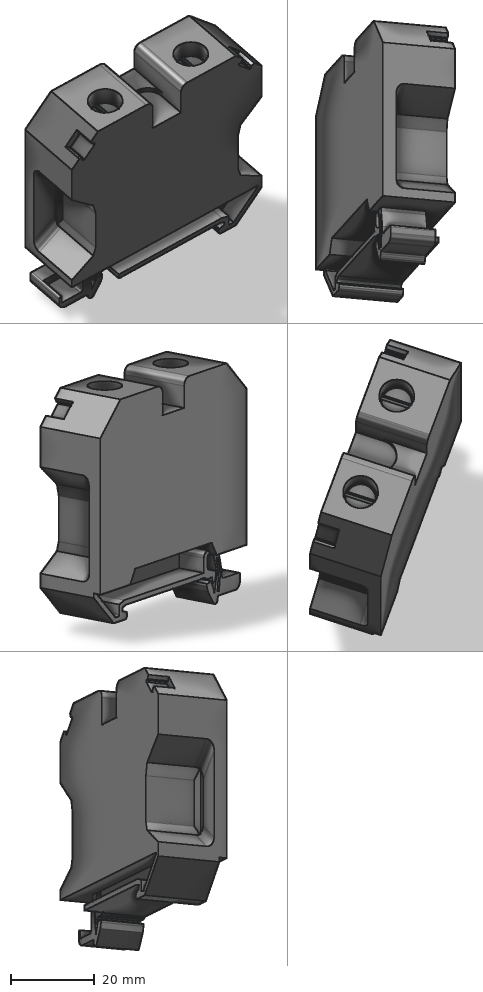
import cadquery as cq
import math

width = 17.9
length = 58.0
height = 59.35
half_length = length / 2

housing_bottom = 12.8
corner_chamfer = 7.95
gap_half_width = 4.3
gap_floor = 51.9
tower_edge_radius = 2.0
gap_recess_depth = 1.25

screw_x = 10.7
screw_y = 13.05
well_radius = 4.15
well_depth = 11.85
screw_radius = 4.05
screw_top = 55.2
screw_chamfer = 0.5
screw_slot_width = 1.2
screw_slot_depth = 1.2

notch_x = 12.6
notch_start = 2.15
notch_length = 5.0
notch_bump = 0.35
notch_bump_depth = 1.0
notch_undercut_depth = 1.6
notch_depth = 1.9

entry_x = 3.3
entry_corner_radius = 2.0
entry_ledge = 0.65
entry_top = 41.5
entry_bottom = 15.2
entry_floor_top = 35.9
entry_floor_bottom = 19.35
entry_floor_depth = 6.5
entry_step_x = 5.35
entry_step_top = 32.9
entry_step_bottom = 21.6
entry_depth = 7.25

foot_x = 1.95
web_x = 9.4
clip_end_x = 13.05
arch_half_top = 15.15
arch_half_bottom = 17.1
arch_top = 16.3
beam_end = -14.65
beam_bottom = 7.3
beam_top = 8.6
leg_bottom = 3.75
leg_knee = 11.7
leg_slope_end = half_length - (leg_knee - leg_bottom)
rail_hook_y = 15.8
rail_hook_radius = 0.85
rail_hook_chamfer_y = 0.2
rail_hook_chamfer_z = 0.4
rail_hook_top = 5.5
rail_groove_y = 17.55
rail_groove_radius = 0.4
rail_groove_low = 5.8
rail_groove_high = 7.0
rail_groove_mouth_y = 16.25

nose_y = -19.35
nose_back_y = -18.0
nose_tip = 5.3
nose_top = 8.4
nose_top_radius = 0.8
nose_roof = 6.8
clip_wall_y = -16.0
clip_wall_low = 9.85
clip_wall_low_radius = 0.95
clip_wall_top_radius = 0.8

recess_knee_y = 27.65
recess_knee_z = 12.35
recess_floor = 5.05
recess_post_y = 18.9
recess_floor_radius = 0.4
recess_step_y = 16.8
recess_step_z = 7.95
recess_arc_radius = 1.3
recess_arc_top = 13.7

lever_tab_top = 5.75
lever_tab_bottom = 1.8
lever_front = -21.7
tab_corner_radius = 1.95
tab_lip = 0.85
tab_edge_radius = 0.55
tab_fillet = 0.8
tab_pocket_x = 6.0
tab_pocket_drop = 2.1
lever_back_top = -18.05
lever_front_top = -20.65
lever_bend_high = 12.0
lever_bend_low = 7.7
tip_fillet = 0.5
tip_start_y = -20.2
lever_tip = [(-20.05, 0.7), (-19.15, 0), (-18.3, 0.6)]
lever_hook = [(-16.2, 3.75), (-15.8, 5.15), (-15.8, 5.7), (-16.25, 5.6), (-17.2, 6.2), (-17.55, 5.9)]
lever_back = [(-18.9, 2.85), (-19.7, 7.35), (-18.5, 12.05)]
lever_groove_path = [(-19.95, 10.8), (-20.8, 7.05), (-20.35, 3.2)]
lever_groove_width = 0.7
lever_groove_depth = 3.15


def block(x0, x1, y0, y1, z0, z1):
    """Box between two opposite corners."""
    return cq.Workplane("XY").box(x1 - x0, y1 - y0, z1 - z0, centered=False).translate((x0, y0, z0))


def profile(x):
    """Workplane at the given X whose local axes are Y and Z."""
    return cq.Workplane("YZ", origin=(x, 0, 0))


def both_ends(tool):
    """The tool made for the -Y end, together with its mirror image at the +Y end."""
    return [tool, tool.mirror("XZ")]


def housing_block():
    """Block with chamfered upper corners and a rounded gap between two towers."""
    body = block(0, width, -half_length, half_length, housing_bottom, height)
    body = body.faces(">Z").edges("|X").chamfer(corner_chamfer)
    gap = block(0, width, -gap_half_width, gap_half_width, gap_floor, height)
    for side in (-1, 1):
        gap = gap.union(gap_rounding(side))
    return body.cut(gap)


def gap_rounding(side):
    """Waste above the rounded upper edge of one tower; side is the sign of Y."""
    return (
        profile(0)
        .moveTo(side * gap_half_width, height)
        .lineTo(side * (gap_half_width + tower_edge_radius), height)
        .radiusArc((side * gap_half_width, height - tower_edge_radius), -side * tower_edge_radius)
        .close()
        .extrude(width)
    )


def gap_recess():
    """Round-ended recess in the gap floor, open at the +X side."""
    floor = gap_floor - gap_recess_depth
    round_end = (
        cq.Workplane("XY", origin=(screw_x, 0, floor))
        .circle(gap_half_width)
        .extrude(gap_recess_depth)
    )
    return round_end.union(block(screw_x, width, -gap_half_width, gap_half_width, floor, gap_floor))


def marker_notch():
    """Snap-in notch in the -Y chamfer, its walls pinched by a bump halfway down."""
    edge_y = -(half_length - corner_chamfer) - notch_start
    edge_z = height - notch_start
    wall = [
        (0, 0),
        (notch_bump, notch_bump_depth),
        (0, notch_undercut_depth),
        (notch_bump, notch_depth),
    ]
    outline = wall + [(notch_length - along, depth) for along, depth in reversed(wall)]
    return (
        cq.Workplane("YZ")
        .polyline([(-along, -depth) for along, depth in outline])
        .close()
        .extrude(width - notch_x)
        .rotate((0, 0, 0), (1, 0, 0), 45)
        .translate((notch_x, edge_y, edge_z))
    )


def entry_pocket():
    """Funnel-shaped wire entry at the -Y end, open at the +X side, with a stepped floor."""
    end = -half_length
    funnel = (
        profile(entry_x)
        .polyline([
            (end, entry_top),
            (end + entry_floor_depth, entry_floor_top),
            (end + entry_floor_depth, entry_floor_bottom),
            (end, entry_bottom),
        ])
        .close()
        .extrude(width - entry_x)
    )
    wall_edges = funnel.faces("<X").edges("not(<Y or >Y)")
    return wall_edges.edges("not |Z").fillet(entry_corner_radius)


def entry_step():
    """Deepest part of the wire entry: a flat with sloping borders on three sides."""
    end = -half_length
    slope_start = entry_x + entry_ledge
    step = (
        profile(slope_start)
        .polyline([
            (end + entry_floor_depth, entry_floor_top),
            (end + entry_depth, entry_step_top),
            (end + entry_depth, entry_step_bottom),
            (end + entry_floor_depth, entry_floor_bottom),
        ])
        .close()
        .extrude(width - slope_start)
    )
    side_slope = (
        cq.Workplane("XY", origin=(0, 0, entry_bottom))
        .polyline([
            (slope_start, end),
            (slope_start, end + entry_floor_depth),
            (entry_step_x, end + entry_depth),
            (width, end + entry_depth),
            (width, end),
        ])
        .close()
        .extrude(entry_top - entry_bottom)
    )
    return step.intersect(side_slope)


def arch():
    """Trapezoid cut from the housing's underside on the -X side."""
    return (
        profile(0)
        .polyline([
            (arch_half_bottom, housing_bottom),
            (arch_half_top, arch_top),
            (-arch_half_top, arch_top),
            (-arch_half_bottom, housing_bottom),
        ])
        .close()
        .extrude(web_x)
    )


def leg_outline(x):
    """Sloping leg and its rail groove, from the housing round to the underside of the beam."""
    groove_start_y = rail_groove_y - rail_groove_radius
    return (
        profile(x)
        .moveTo(half_length, housing_bottom)
        .lineTo(half_length, leg_knee)
        .lineTo(leg_slope_end, leg_bottom)
        .lineTo(rail_hook_y + rail_hook_radius, leg_bottom)
        .radiusArc((rail_hook_y, leg_bottom + rail_hook_radius), rail_hook_radius)
        .lineTo(rail_hook_y, rail_hook_top - rail_hook_chamfer_z)
        .lineTo(rail_hook_y + rail_hook_chamfer_y, rail_hook_top)
        .lineTo(groove_start_y, rail_groove_low)
        .radiusArc((rail_groove_y, rail_groove_low + rail_groove_radius), -rail_groove_radius)
        .lineTo(rail_groove_y, rail_groove_high - rail_groove_radius)
        .radiusArc((groove_start_y, rail_groove_high), -rail_groove_radius)
        .lineTo(rail_groove_mouth_y, beam_bottom)
    )


def clip_side():
    """Foot between its -X face and the far side of the web, ending in the clip nose."""
    return (
        leg_outline(foot_x)
        .lineTo(-15.0, beam_bottom)
        .lineTo(-15.9, nose_roof)
        .lineTo(nose_back_y, nose_roof)
        .lineTo(nose_back_y, nose_tip)
        .lineTo(-18.3, nose_tip)
        .lineTo(-19.1, 5.9)
        .lineTo(nose_y, 6.5)
        .lineTo(nose_y, nose_top - nose_top_radius)
        .radiusArc((nose_y + nose_top_radius, nose_top), nose_top_radius)
        .lineTo(-18.2, nose_top)
        .lineTo(-16.6, 9.15)
        .radiusArc((clip_wall_y, clip_wall_low), -clip_wall_low_radius)
        .lineTo(clip_wall_y, housing_bottom - clip_wall_top_radius)
        .radiusArc((clip_wall_y - clip_wall_top_radius, housing_bottom), -clip_wall_top_radius)
        .lineTo(-arch_half_bottom, housing_bottom)
        .lineTo(-arch_half_top, arch_top)
        .lineTo(arch_half_top, arch_top)
        .lineTo(arch_half_bottom, housing_bottom)
        .close()
        .extrude(clip_end_x - foot_x)
    )


def plain_side():
    """Foot beyond the web: only the leg and the beam."""
    return (
        leg_outline(clip_end_x)
        .lineTo(beam_end, beam_bottom)
        .lineTo(beam_end, housing_bottom)
        .close()
        .extrude(width - clip_end_x)
    )


def foot_recess(x0, x1):
    """Space framed by the leg, the beam and the clip wall, reaching up into the arch."""
    slope_foot_y = recess_knee_y - (recess_knee_z - recess_floor)
    arch_run = (arch_half_bottom - arch_half_top) / (arch_top - housing_bottom)
    arc_meets_arch_y = -arch_half_bottom + (recess_arc_top - housing_bottom) * arch_run
    return (
        profile(x0)
        .moveTo(recess_knee_y, housing_bottom)
        .lineTo(recess_knee_y, recess_knee_z)
        .lineTo(slope_foot_y, recess_floor)
        .lineTo(recess_post_y + recess_floor_radius, recess_floor)
        .radiusArc((recess_post_y, recess_floor + recess_floor_radius), recess_floor_radius)
        .lineTo(recess_post_y, recess_step_z)
        .lineTo(recess_step_y, beam_top)
        .lineTo(beam_end, beam_top)
        .lineTo(beam_end, recess_arc_top - recess_arc_radius)
        .radiusArc((beam_end - recess_arc_radius, recess_arc_top), -recess_arc_radius)
        .lineTo(arc_meets_arch_y, recess_arc_top)
        .lineTo(-arch_half_top, arch_top)
        .lineTo(arch_half_top, arch_top)
        .lineTo(arch_half_bottom, housing_bottom)
        .close()
        .extrude(x1 - x0)
    )


def release_lever():
    """Springy arm under the housing with a hook, a pull tab and a bent groove."""
    outline = (
        profile(foot_x)
        .moveTo(lever_back_top, housing_bottom)
        .lineTo(lever_front_top, housing_bottom)
        .lineTo(lever_front_top, lever_bend_high)
        .lineTo(lever_front, lever_bend_low)
        .lineTo(lever_front, lever_tab_top + tab_fillet)
        .radiusArc((lever_front - tab_fillet, lever_tab_top), tab_fillet)
        .lineTo(-half_length + tab_edge_radius, lever_tab_top)
        .radiusArc((-half_length, lever_tab_top - tab_edge_radius), -tab_edge_radius)
        .lineTo(-half_length, lever_tab_bottom + tab_corner_radius)
        .radiusArc((-half_length + tab_corner_radius, lever_tab_bottom), -tab_corner_radius)
        .lineTo(tip_start_y - tip_fillet, lever_tab_bottom)
        .radiusArc((tip_start_y, lever_tab_bottom - tip_fillet), tip_fillet)
        .lineTo(*lever_tip[0])
        .threePointArc(*lever_tip[1:])
    )
    for point in lever_hook + lever_back:
        outline = outline.lineTo(*point)
    lever = outline.close().extrude(clip_end_x - foot_x)
    return lever.cut(tab_pocket()).cut(lever_groove())


def tab_pocket():
    """Finger pocket in the tab top that leaves a lip along the tab's end."""
    pocket = block(
        tab_pocket_x,
        clip_end_x,
        -half_length + tab_lip,
        lever_front,
        lever_tab_top - tab_pocket_drop,
        lever_tab_top + tab_fillet,
    )
    return pocket.edges(">Y and <Z").fillet(tab_fillet)


def lever_groove():
    """Bent groove with round ends in the lever's -X face."""
    radius = lever_groove_width / 2
    groove = profile(foot_x).pushPoints(lever_groove_path).circle(radius).extrude(lever_groove_depth)
    for (y0, z0), (y1, z1) in zip(lever_groove_path, lever_groove_path[1:]):
        run = math.hypot(y1 - y0, z1 - z0)
        tilt = math.degrees(math.atan2(z1 - z0, y1 - y0))
        straight = (
            profile(foot_x)
            .center((y0 + y1) / 2, (z0 + z1) / 2)
            .transformed(rotate=(0, 0, tilt))
            .rect(run, lever_groove_width)
            .extrude(lever_groove_depth)
        )
        groove = groove.union(straight)
    return groove


def make_housing():
    body = housing_block().cut(gap_recess())
    for tool in (marker_notch(), entry_pocket(), entry_step()):
        for copy in both_ends(tool):
            body = body.cut(copy)
    body = body.cut(arch())
    body = body.union(clip_side().cut(foot_recess(foot_x, web_x)))
    body = body.union(plain_side().cut(foot_recess(clip_end_x, width)))
    body = body.union(release_lever())
    wells = (
        cq.Workplane("XY", origin=(0, 0, height - well_depth))
        .pushPoints([(screw_x, -screw_y), (screw_x, screw_y)])
        .circle(well_radius)
        .extrude(well_depth)
    )
    return body.cut(wells)


def make_screw(y):
    """Slotted screw standing on the floor of its well."""
    bottom = height - well_depth
    screw = (
        cq.Workplane("XY", origin=(screw_x, y, bottom))
        .circle(screw_radius)
        .extrude(screw_top - bottom)
        .faces(">Z")
        .chamfer(screw_chamfer)
    )
    slot = block(
        screw_x - screw_radius,
        screw_x + screw_radius,
        y - screw_slot_width / 2,
        y + screw_slot_width / 2,
        screw_top - screw_slot_depth,
        screw_top,
    )
    return screw.cut(slot)


housing = make_housing()
screws = [make_screw(y) for y in (-screw_y, screw_y)]

result = cq.Compound.makeCompound([housing.val(), *[screw.val() for screw in screws]])